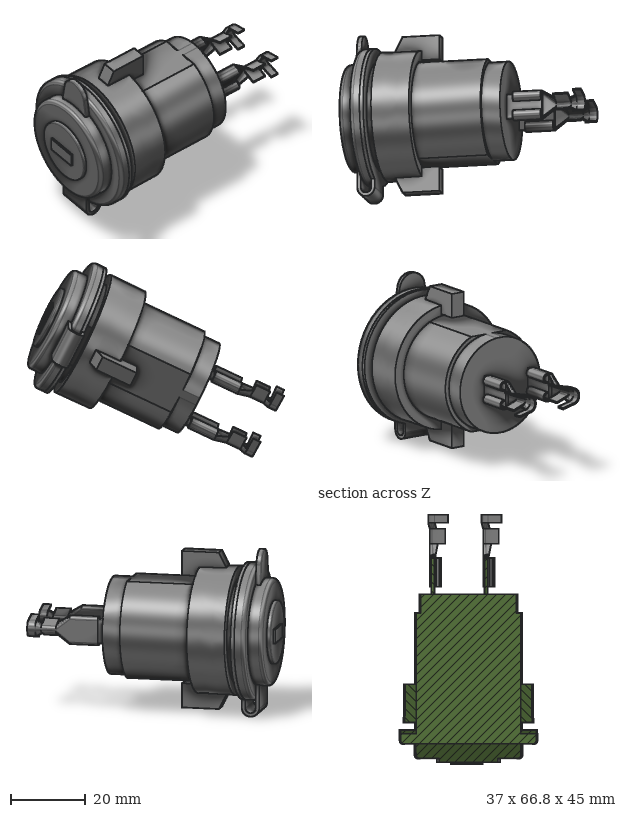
import cadquery as cq
import math


part_length = 66.8
part_height = 44.95

flange_radius = 18.5
flange_thickness = 2.8
flange_edge_radius = 1.0
barrel_radius = 14.4
barrel_tail_radius = 13.2
flat_tail_width = 2.2
flat_height = math.sqrt(barrel_tail_radius**2 - (flat_tail_width / 2) ** 2)
tail_start = 35.15
tail_end = 40.2

ring_front = 5.75
ring_back = 16.1
ring_front_radius = 17.45
ring_back_radius = 17.3
claw_width = 3.95
claw_inner = 14.75
claw_outer = 21.4
claw_toe = 8.75
claw_crest = 10.75
claw_back = 20.9

cap_radius = 14.5
cap_height = 3.9
cap_edge_radius = 1.0
boss_radius = 8.55
boss_height = 1.0
boss_edge_radius = 0.2
panel_length = 8.6
panel_height = 3.8
panel_relief = 0.5
panel_x = -0.5
panel_z = -0.35
strap_thickness = 1.0
strap_width = 9.95
collar_thickness = strap_thickness
collar_back = flange_thickness + collar_thickness
loop_radius = (collar_back + strap_thickness) / 2
loop_y = collar_back - loop_radius
loop_z = loop_radius - part_height / 2
strap_root_z = -11.35
collar_root_z = -16.0
tab_thickness = 1.35
tab_tip_radius = 4.15
tab_taper = math.radians(9.5)
tab_edge_radius = 0.2
tab_root_z = 12.0
tab_tip_z = part_height / 2 - tab_tip_radius

blade_x_positions = [-9.55, 4.75]
blade_thickness = 0.95
blade_width = 6.7
blade_edge_radius = 0.3

sheet = 0.37
sleeve_start = 42.15
sleeve_end = 49.9
wire_crimp_start = 53.65
wire_crimp_end = 57.7
cable_crimp_start = 59.25
connector_end = part_length - cap_height - boss_height - panel_relief

sleeve_half_width = 3.9
sleeve_corner_radius = 0.8
sleeve_half_flat = sleeve_half_width - sleeve_corner_radius
curl_base = 1.75
curl_radius = 1.35
shoulder_height = 1.5

crimp_half_flat = 0.15
wire_crimp_radius = 0.95
wire_crimp_splay = 20
wire_crimp_height = 4.2
cable_crimp_radius = 2.15
cable_crimp_splay = 13
cable_crimp_drop = 0.435
cable_crimp_height = 4.95
throat_height = 2.2
neck_front_height = 1.8
neck_back_height = 1.4


def disc(radius, y_front, y_back):
    """Cylinder along Y."""
    return cq.Workplane("XZ", origin=(0, y_back, 0)).circle(radius).extrude(y_back - y_front)


def box(x_size, y_range, z_range, x_middle=0):
    """Box from its X width and its Y and Z limits."""
    corner = (x_middle - x_size / 2, y_range[0], z_range[0])
    return cq.Workplane("XY", origin=corner).box(
        x_size, y_range[1] - y_range[0], z_range[1] - z_range[0], centered=False
    )


def make_housing():
    flange = disc(flange_radius, 0, flange_thickness).faces("<Y").edges().fillet(flange_edge_radius)
    barrel = disc(barrel_radius, flange_thickness, tail_start)
    tail = disc(barrel_tail_radius, tail_start, tail_end)
    flats = box(2 * barrel_radius, (flange_thickness, tail_end), (-flat_height, flat_height))
    return flange.union(barrel.union(tail).intersect(flats))


def make_clamp_ring():
    """Slightly tapered ring with a hooked claw at top and bottom."""
    body = (
        cq.Workplane("XY")
        .moveTo(barrel_radius, ring_front)
        .lineTo(ring_front_radius, ring_front)
        .lineTo(ring_back_radius, ring_back)
        .lineTo(barrel_radius, ring_back)
        .close()
        .revolve(360, (0, 0, 0), (0, 1, 0))
    )
    claw = (
        cq.Workplane("YZ")
        .moveTo(claw_toe, claw_inner)
        .lineTo(claw_toe, ring_front_radius)
        .lineTo(claw_crest, claw_outer)
        .lineTo(claw_back, claw_outer)
        .lineTo(claw_back, claw_inner)
        .close()
        .extrude(claw_width / 2, both=True)
    )
    return body.union(claw).union(claw.mirror("XY"))


def make_pull_tab():
    """Tapered tab with a round tip tangent to both sides."""
    tangent_x = tab_tip_radius * math.cos(tab_taper)
    tangent_z = tab_tip_z + tab_tip_radius * math.sin(tab_taper)
    root_x = tangent_x + (tangent_z - tab_root_z) * math.tan(tab_taper)
    return (
        cq.Workplane("XZ")
        .moveTo(-root_x, tab_root_z)
        .lineTo(-tangent_x, tangent_z)
        .threePointArc((0, part_height / 2), (tangent_x, tangent_z))
        .lineTo(root_x, tab_root_z)
        .close()
        .extrude(tab_thickness)
        .faces("<Y")
        .edges()
        .fillet(tab_edge_radius)
    )


def make_strap():
    """U-shaped strap from the cap, under the flange rim, to the collar."""
    inner_radius = loop_radius - strap_thickness
    return (
        cq.Workplane("YZ")
        .moveTo(-strap_thickness, strap_root_z)
        .lineTo(-strap_thickness, loop_z)
        .threePointArc((loop_y, loop_z - loop_radius), (collar_back, loop_z))
        .lineTo(collar_back, collar_root_z)
        .lineTo(flange_thickness, collar_root_z)
        .lineTo(flange_thickness, loop_z)
        .threePointArc((loop_y, loop_z - inner_radius), (0, loop_z))
        .lineTo(0, strap_root_z)
        .close()
        .extrude(strap_width / 2, both=True)
    )


def make_cap():
    lid = disc(cap_radius, -cap_height, 0).faces("<Y").edges().fillet(cap_edge_radius)
    boss_front = -cap_height - boss_height
    boss = disc(boss_radius, boss_front, -cap_height).faces("<Y").edges().fillet(boss_edge_radius)
    panel = box(
        panel_length,
        (boss_front - panel_relief, boss_front),
        (panel_z - panel_height / 2, panel_z + panel_height / 2),
        panel_x,
    )
    collar = disc(flange_radius, flange_thickness, collar_back)
    collar = collar.cut(disc(barrel_radius, flange_thickness, collar_back))
    return lid.union(boss).union(panel).union(make_pull_tab()).union(make_strap()).union(collar)


def make_blade(x):
    """Flat blade standing on the housing tail and filling the connector sleeve."""
    blade = box(blade_thickness, (tail_end, sleeve_end), (-blade_width / 2, blade_width / 2), x)
    return blade.edges("|Y").fillet(blade_edge_radius)


def channel_wire(y, floor, half_flat, corner_radius, splay, height):
    """Outline of bent sheet: flat floor, round corners and walls that lean out by the splay angle.

    The floor is at X = floor, the walls end at X = height, and the outline is centred on Z = 0.
    """
    lean = math.radians(splay)
    wall_angle = math.pi / 2 - lean
    centre_x = floor + corner_radius

    def half_profile(radius):
        """Floor end, corner middle, wall start and wall tip on the +Z side."""
        def on_corner(angle):
            return (centre_x - radius * math.cos(angle), half_flat + radius * math.sin(angle))

        wall_x, wall_z = on_corner(wall_angle)
        tip = (height, wall_z + (height - wall_x) * math.tan(lean))
        return on_corner(0), on_corner(wall_angle / 2), (wall_x, wall_z), tip

    def flip(point):
        return (point[0], -point[1])

    floor_out, middle_out, wall_out, tip_out = half_profile(corner_radius)
    floor_in, middle_in, wall_in, tip_in = half_profile(corner_radius - sheet)
    return (
        cq.Workplane("XZ", origin=(0, y, 0))
        .moveTo(*flip(tip_out))
        .lineTo(*flip(wall_out))
        .threePointArc(flip(middle_out), flip(floor_out))
        .lineTo(*floor_out)
        .threePointArc(middle_out, wall_out)
        .lineTo(*tip_out)
        .lineTo(*tip_in)
        .lineTo(*wall_in)
        .threePointArc(middle_in, floor_in)
        .lineTo(*flip(floor_in))
        .threePointArc(flip(middle_in), flip(wall_in))
        .lineTo(*flip(tip_in))
        .close()
        .val()
    )


def sleeve_wire(y, height):
    return channel_wire(y, 0, sleeve_half_flat, sleeve_corner_radius, 0, height)


def wire_crimp_wire(y, height):
    return channel_wire(y, 0, crimp_half_flat, wire_crimp_radius, wire_crimp_splay, height)


def cable_crimp_wire(y, height):
    return channel_wire(
        y, -cable_crimp_drop, crimp_half_flat, cable_crimp_radius, cable_crimp_splay, height
    )


def make_sleeve_curl():
    """Half-round curl that rolls the +Z sleeve wall back over the blade."""
    centre_z = sleeve_half_width - curl_radius
    inner_radius = curl_radius - sheet
    return (
        cq.Workplane("XZ", origin=(0, sleeve_end, 0))
        .moveTo(curl_base, centre_z + curl_radius)
        .threePointArc((curl_base + curl_radius, centre_z), (curl_base, centre_z - curl_radius))
        .lineTo(curl_base, centre_z - inner_radius)
        .threePointArc((curl_base + inner_radius, centre_z), (curl_base, centre_z + inner_radius))
        .close()
        .extrude(sleeve_end - sleeve_start)
    )


def make_connector(blade_x):
    """Push-on connector: curled sleeve, shoulder, wire crimp, neck and cable crimp."""
    stages = [
        (sleeve_wire(sleeve_start, curl_base), sleeve_wire(sleeve_end, curl_base)),
        (sleeve_wire(sleeve_end, shoulder_height), wire_crimp_wire(wire_crimp_start, throat_height)),
        (
            wire_crimp_wire(wire_crimp_start, wire_crimp_height),
            wire_crimp_wire(wire_crimp_end, wire_crimp_height),
        ),
        (
            wire_crimp_wire(wire_crimp_end, neck_front_height),
            cable_crimp_wire(cable_crimp_start, neck_back_height),
        ),
        (
            cable_crimp_wire(cable_crimp_start, cable_crimp_height),
            cable_crimp_wire(connector_end, cable_crimp_height),
        ),
    ]
    curl = make_sleeve_curl()
    connector = curl.union(curl.mirror("XY"))
    for front, back in stages:
        connector = connector.union(cq.Workplane(cq.Solid.makeLoft([front, back], True)))
    floor_x = blade_x - blade_thickness / 2 - sheet
    return connector.translate((floor_x, 0, 0))


housing = make_housing()
clamp_ring = make_clamp_ring()
cap = make_cap()
blades = [make_blade(x) for x in blade_x_positions]
connectors = [make_connector(x) for x in blade_x_positions]

result = cq.Compound.makeCompound(
    [
        housing.val(),
        clamp_ring.val(),
        cap.val(),
        *[blade.val() for blade in blades],
        *[connector.val() for connector in connectors],
    ]
)